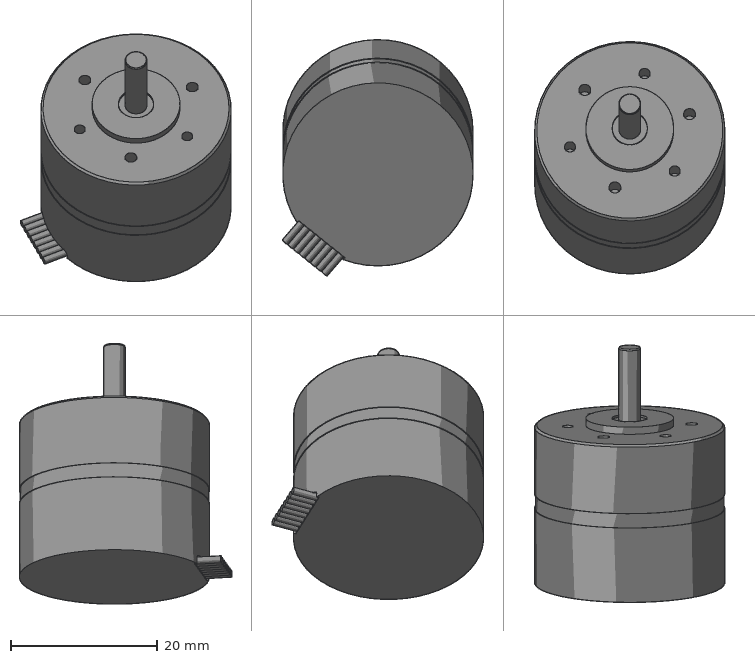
import cadquery as cq

body_diameter = 26.0
body_height = 22.0
body_top_chamfer = 0.3

band_diameter = 25.8
band_bottom = 10.4
band_top = 12.4

boss_diameter = 12.0
boss_height = 1.0
recess_diameter = 4.8
recess_depth = 0.3

shaft_diameter = 3.0
shaft_top = 32.9
shaft_chamfer_width = 0.1
shaft_chamfer_height = 0.2

hole_circle_radius = 8.5
holes_per_set = 3
large_hole_diameter = 1.6
large_hole_start_angle = 90.0
small_hole_diameter = 1.48
small_hole_start_angle = 30.0
hole_depth = 3.0

wire_count = 8
wire_pitch = 1.0
wire_diameter = 0.98
wire_center_height = 0.56
wire_end_y = -15.6
outlet_width = 8.2
outlet_height = 1.25
outlet_corner_radius = 0.6
outlet_back_y = -12.0
wire_embedding = 0.5

body_radius = body_diameter / 2
boss_top = body_height + boss_height


def cylinder(diameter, bottom, top):
    """Upright cylinder on the motor axis."""
    return cq.Workplane("XY").workplane(offset=bottom).circle(diameter / 2).extrude(top - bottom)


def make_housing():
    """Two housings joined by the band, with the pilot boss on top."""
    lower = cylinder(body_diameter, 0, band_bottom)
    band = cylinder(band_diameter, band_bottom, band_top)
    upper = cylinder(body_diameter, band_top, body_height).faces(">Z").chamfer(body_top_chamfer)
    boss = cylinder(boss_diameter, body_height, boss_top)
    recess = cylinder(recess_diameter, boss_top - recess_depth, boss_top)
    return lower.union(band).union(upper).union(boss).cut(recess)


def make_shaft():
    """Output shaft rising through the recess, with a steep chamfer at its tip."""
    shaft_radius = shaft_diameter / 2
    profile = (
        cq.Workplane("XZ")
        .moveTo(0, body_height)
        .lineTo(shaft_radius, body_height)
        .lineTo(shaft_radius, shaft_top - shaft_chamfer_height)
        .lineTo(shaft_radius - shaft_chamfer_width, shaft_top)
        .lineTo(0, shaft_top)
        .close()
    )
    return profile.revolve(360, (0, 0, 0), (0, 1, 0))


def make_mounting_holes(diameter, start_angle):
    """Evenly spaced blind holes going down from the top face."""
    return (
        cq.Workplane("XY")
        .workplane(offset=body_height)
        .polarArray(hole_circle_radius, start_angle, 360, holes_per_set)
        .circle(diameter / 2)
        .extrude(-hole_depth)
    )


def make_wire_outlet():
    """Notch in the lower front edge, open at the bottom, with rounded upper corners."""
    outlet = cq.Workplane("XY").box(
        outlet_width, body_radius + outlet_back_y, outlet_height, centered=(True, False, False)
    )
    return outlet.translate((0, -body_radius, 0)).edges("|Y and >Z").fillet(outlet_corner_radius)


def make_wires():
    """Row of straight wires, each held in the back wall of the outlet."""
    first_x = -(wire_count - 1) * wire_pitch / 2
    centers = [(first_x + i * wire_pitch, wire_center_height) for i in range(wire_count)]
    start_y = outlet_back_y + wire_embedding
    return (
        cq.Workplane("XZ", origin=(0, start_y, 0))
        .pushPoints(centers)
        .circle(wire_diameter / 2)
        .extrude(start_y - wire_end_y)
    )


result = (
    make_housing()
    .union(make_shaft())
    .cut(make_mounting_holes(large_hole_diameter, large_hole_start_angle))
    .cut(make_mounting_holes(small_hole_diameter, small_hole_start_angle))
    .cut(make_wire_outlet())
    .union(make_wires())
)